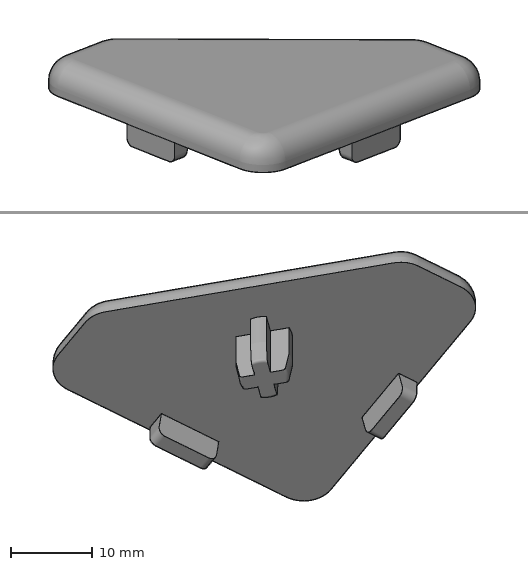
import cadquery as cq
import math

side = 40.0
plate_thickness = 4.0
short_edge = 11.85
corner_radius = 4.0
top_edge_radius = 3.0

tab_width = 8.4
tab_height = 3.0
tab_root_depth = 2.7
tab_tip_depth = 1.9
tab_inset = 0.3
tab_corner_radius = 1.0

peg_length = 8.0
peg_diameter = 7.0
peg_arm_width = 2.0
peg_straight_length = 4.95
peg_taper_angle = 9.0
peg_tip_radius = 0.4

half_side = side / 2


def make_plate():
    """Rounded plate with its underside at Z = 0 and its cut corner at -X, +Y."""
    cut_start = short_edge - half_side
    outline = [
        (-half_side, -half_side),
        (half_side, -half_side),
        (half_side, half_side),
        (-cut_start, half_side),
        (-half_side, cut_start),
    ]
    plate = cq.Workplane("XY").polyline(outline).close().extrude(plate_thickness)
    plate = plate.edges("|Z").fillet(corner_radius)
    return plate.faces(">Z").edges().fillet(top_edge_radius)


def make_tab():
    """Tab below the -Y edge, sloping on its inner face."""
    outer_y = tab_inset - half_side
    profile = [
        (outer_y, 0),
        (outer_y + tab_root_depth, 0),
        (outer_y + tab_tip_depth, -tab_height),
        (outer_y, -tab_height),
    ]
    tab = cq.Workplane("YZ").polyline(profile).close().extrude(tab_width / 2, both=True)
    rounded_block = (
        cq.Workplane("XZ")
        .rect(tab_width, 2 * tab_height)
        .extrude(side, both=True)
        .edges("|Y")
        .fillet(tab_corner_radius)
    )
    return tab.intersect(rounded_block)


def make_peg():
    """Round tapered peg reduced to two crossed arms along the diagonals."""
    taper_length = peg_length - peg_straight_length
    tip_diameter = peg_diameter - 2 * taper_length * math.tan(math.radians(peg_taper_angle))
    envelope = (
        cq.Workplane("XZ")
        .polyline([
            (0, 0),
            (peg_diameter / 2, 0),
            (peg_diameter / 2, -peg_straight_length),
            (tip_diameter / 2, -peg_length),
            (0, -peg_length),
        ])
        .close()
        .revolve(360, (0, 0), (0, 1))
        .faces("<Z")
        .edges()
        .fillet(peg_tip_radius)
    )
    arm = cq.Workplane("XY").rect(2 * peg_diameter, peg_arm_width).extrude(-peg_length)
    cross = arm.union(arm.rotate((0, 0, 0), (0, 0, 1), 90))
    cross = cross.rotate((0, 0, 0), (0, 0, 1), 45)
    return envelope.intersect(cross)


result = make_plate().union(make_peg())
for tab_angle in (0, 90):
    result = result.union(make_tab().rotate((0, 0, 0), (0, 0, 1), tab_angle))